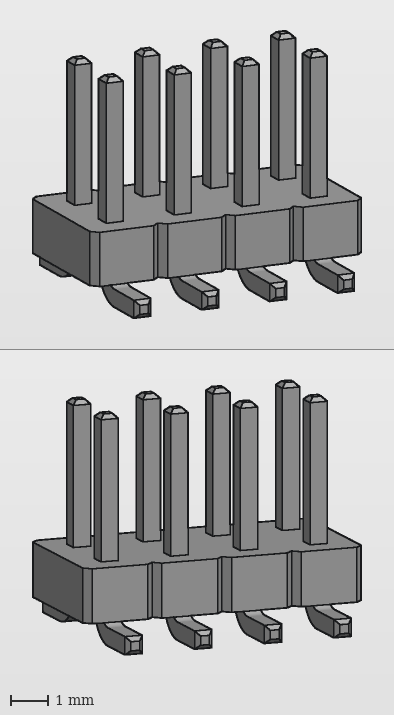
import cadquery as cq
import math

pitch = 2.0
row_count = 4
row_offset = pitch / 2

body_width = 2 * pitch
body_height = 1.5
corner_chamfer = 0.2
standoff = 0.7

pin_size = 0.5
pin_rise = 4.0
foot_span = 6.2
bend_inner_radius = 0.5
bend_outer_radius = bend_inner_radius + pin_size
tip_chamfer = pin_size / 4

body_top = standoff + body_height
pin_top = body_top + pin_rise


def row_position(row):
    """Y coordinate of a pin row, with the rows centred on the origin."""
    return (row - (row_count - 1) / 2) * pitch


def body_segment(y_center):
    """One block of the body, with its four vertical edges chamfered."""
    return (
        cq.Workplane("XY")
        .box(body_width, pitch, body_height, centered=(True, True, False))
        .edges("|Z")
        .chamfer(corner_chamfer)
        .translate((0, y_center, standoff))
    )


def make_body():
    """Chamfered segments side by side, leaving a V notch between neighbours."""
    body = body_segment(row_position(0))
    for row in range(1, row_count):
        body = body.union(body_segment(row_position(row)))
    return body


def make_pin():
    """L-shaped pin on the +X side: vertical post, quarter bend and foot, centred on Y = 0."""
    inner_x = row_offset - pin_size / 2
    outer_x = row_offset + pin_size / 2
    bend_x = outer_x + bend_inner_radius
    bend_z = bend_outer_radius
    foot_x = foot_span / 2
    diagonal = math.cos(math.radians(45))

    outer_mid = (bend_x - bend_outer_radius * diagonal, bend_z - bend_outer_radius * diagonal)
    inner_mid = (bend_x - bend_inner_radius * diagonal, bend_z - bend_inner_radius * diagonal)

    pin = (
        cq.Workplane("XZ")
        .moveTo(inner_x, pin_top)
        .lineTo(inner_x, bend_z)
        .threePointArc(outer_mid, (bend_x, 0))
        .lineTo(foot_x, 0)
        .lineTo(foot_x, pin_size)
        .lineTo(bend_x, pin_size)
        .threePointArc(inner_mid, (outer_x, bend_z))
        .lineTo(outer_x, pin_top)
        .close()
        .extrude(pin_size / 2, both=True)
    )
    pin = pin.faces(">Z").chamfer(tip_chamfer)
    return pin.faces(">X").chamfer(tip_chamfer)


right_pin = make_pin()
left_pin = right_pin.mirror("YZ")

result = make_body()
for row in range(row_count):
    row_shift = (0, row_position(row), 0)
    result = result.union(right_pin.translate(row_shift))
    result = result.union(left_pin.translate(row_shift))